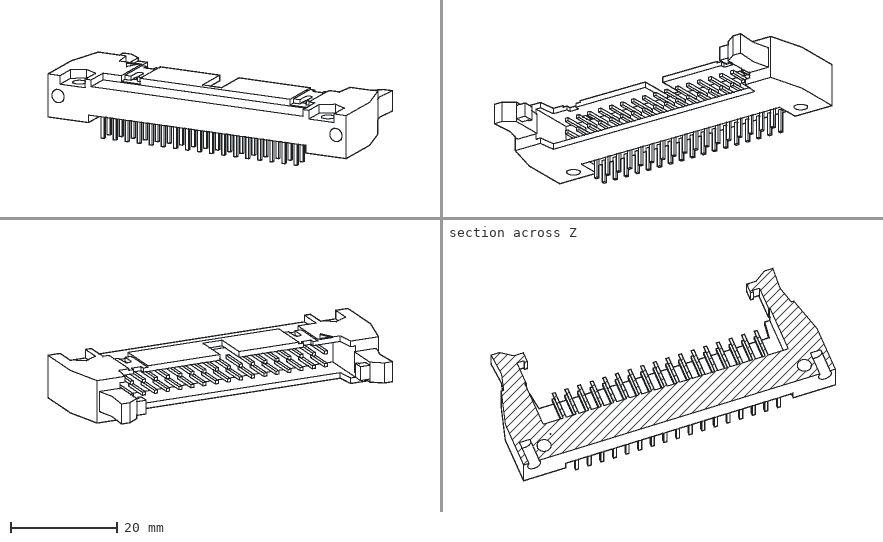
import cadquery as cq


length = 62.8
height = 8.5
shroud_back = 13.75
wall = 1.1
ceiling = height - wall
mid_height = height / 2
half_length = length / 2

tower_back = 17.4
tower_bend = 9.9
tower_outer_half = 29.45
tower_inner_half = 23.6
tower_root_half = 23.2

cavity_front = 7.55
cavity_half = 24.6

ledge_half = 22.3
ledge_drop = 1.3
base_depth = 5.1
foot_half = 22.85
foot_height = 1.5

latch_thickness = 4.0
latch_back = 25.75
latch_waist = 21.0
latch_inner_half = 24.35
latch_waist_half = 28.1
latch_root_half = 28.95
latch_tip_outer_half = 28.4
latch_tip_inner_half = 26.6
hook_height = 2.75
hook_half = 22.4
hook_back = 24.1
hook_front = 22.3
hook_lip_front = 21.9
hook_lip_width = 0.6

hole_diameter = 2.6
mount_half = 26.2
mount_y = 2.9
nut_flats = 5.3
nut_depth = 1.7
front_hole_half = 29.25
front_hole_z = 4.4
front_hole_depth = base_depth

pin_count = 17
pin_row_length = 40.65
pin_pitch = pin_row_length / (pin_count - 1)
pin_size = 0.6
pin_drop = 2.95
pin_back = 13.5
front_row_y = 1.1

window_half_spacing = 17.8
window_width = 3.95
window_recess = 0.3
window_step_y = 6.6
window_slot_width = 1.3
window_slot_back = 9.6
window_notch_width = 2.0
window_notch_depth = 0.95

key_width = 4.0
key_front = 6.4
mark_width = 2.65
mark_length = 2.5
mark_margin = 0.2
mark_depth = 0.2


def block(x0, x1, y0, y1, z0, z1):
    """Box between opposite corners."""
    return cq.Workplane("XY").box(x1 - x0, y1 - y0, z1 - z0, centered=False).translate((x0, y0, z0))


def prism(points, z0, z1):
    """Vertical prism over an outline in the XY plane."""
    return cq.Workplane("XY", origin=(0, 0, z0)).polyline(points).close().extrude(z1 - z0)


def both_ends(shape):
    """The shape together with its mirror image at the other end of the part."""
    return shape.union(shape.mirror("YZ"))


def housing():
    right_half = [
        (0, 0),
        (half_length, 0),
        (half_length, tower_bend),
        (tower_outer_half, tower_back),
        (tower_inner_half, tower_back),
        (tower_root_half, shroud_back),
        (0, shroud_back),
    ]
    body = both_ends(prism(right_half, 0, height))
    body = body.cut(block(-cavity_half, cavity_half, cavity_front, tower_back, wall, ceiling))
    body = body.cut(block(-ledge_half, ledge_half, 0, base_depth, height - ledge_drop, height))
    return body.cut(block(-foot_half, foot_half, 0, base_depth, 0, foot_height))


def mounting_cuts():
    apex = nut_flats / 3 ** 0.5
    shoulder_y = mount_y + apex / 2
    left = mount_half - nut_flats / 2
    right = mount_half + nut_flats / 2
    nut_outline = [
        (left, 0),
        (right, 0),
        (right, shoulder_y),
        (mount_half, mount_y + apex),
        (left, shoulder_y),
    ]
    pocket = prism(nut_outline, height - nut_depth, height)
    screw_hole = (
        cq.Workplane("XY").center(mount_half, mount_y).circle(hole_diameter / 2).extrude(height)
    )
    front_hole = (
        cq.Workplane("XZ").center(front_hole_half, front_hole_z)
        .circle(hole_diameter / 2).extrude(-front_hole_depth)
    )
    return both_ends(pocket.union(screw_hole).union(front_hole))


def window_cut(x):
    """Shallow recess with a deep front step, a round-ended slot and a back notch."""
    half_width = window_width / 2
    slot_radius = window_slot_width / 2
    notch_half = window_notch_width / 2
    recess = block(x - half_width, x + half_width, base_depth, shroud_back, height - window_recess, height)
    step = block(x - half_width, x + half_width, base_depth, window_step_y, ceiling, height)
    slot = (
        cq.Workplane("XY", origin=(x, 0, ceiling))
        .moveTo(-slot_radius, base_depth)
        .lineTo(slot_radius, base_depth)
        .lineTo(slot_radius, window_slot_back - slot_radius)
        .threePointArc((0, window_slot_back), (-slot_radius, window_slot_back - slot_radius))
        .close().extrude(wall)
    )
    notch = block(
        x - notch_half, x + notch_half, shroud_back - window_notch_depth, shroud_back, ceiling, height
    )
    return recess.union(step).union(slot).union(notch)


def key_slot():
    return block(-key_width / 2, key_width / 2, key_front, shroud_back, ceiling, height)


def pin_one_mark():
    x = -pin_row_length / 2
    base_y = shroud_back - mark_margin
    outline = [(x - mark_width / 2, base_y), (x + mark_width / 2, base_y), (x, base_y - mark_length)]
    return prism(outline, height - mark_depth, height)


def latch():
    arm_outline = [
        (latch_inner_half, tower_back),
        (latch_root_half, tower_back),
        (latch_waist_half, latch_waist),
        (latch_tip_outer_half, latch_back),
        (latch_tip_inner_half, latch_back),
        (latch_inner_half, hook_back),
    ]
    arm = prism(arm_outline, mid_height - latch_thickness / 2, mid_height + latch_thickness / 2)
    lip_end = hook_half + hook_lip_width
    hook_outline = [
        (latch_inner_half, hook_back),
        (hook_half, hook_back),
        (hook_half, hook_lip_front),
        (lip_end, hook_lip_front),
        (lip_end, hook_front),
        (latch_inner_half, hook_front),
    ]
    hook = prism(hook_outline, mid_height - hook_height / 2, mid_height + hook_height / 2)
    return arm.union(hook)


def bent_pin(x, leg_y, contact_z):
    """Right-angle pin: a leg down to the board and a contact into the cavity."""
    half = pin_size / 2
    leg = block(x - half, x + half, leg_y - half, leg_y + half, -pin_drop, contact_z + half)
    contact = block(x - half, x + half, leg_y - half, pin_back, contact_z - half, contact_z + half)
    return leg.union(contact)


result = housing().union(both_ends(latch())).cut(mounting_cuts())
result = result.cut(key_slot()).cut(pin_one_mark())

for side in (-1, 1):
    result = result.cut(window_cut(side * window_half_spacing + pin_pitch / 2))

for index in range(pin_count):
    pin_x = index * pin_pitch - pin_row_length / 2
    result = result.union(bent_pin(pin_x, front_row_y, mid_height + pin_pitch / 2))
    result = result.union(bent_pin(pin_x, front_row_y + pin_pitch, mid_height - pin_pitch / 2))